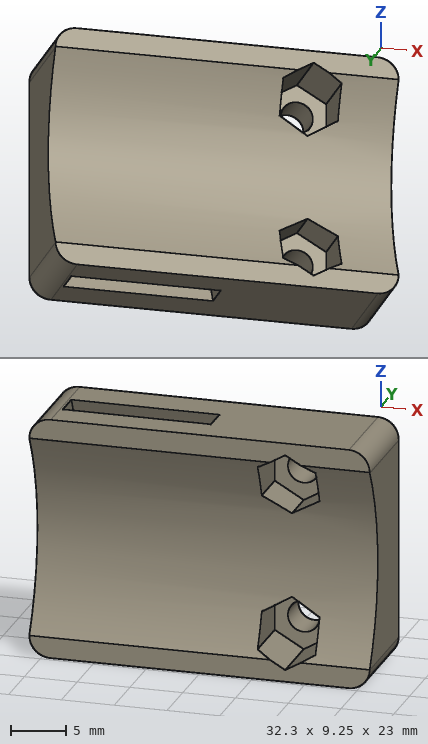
import cadquery as cq
import math

length = 32.25
thickness = 9.25
height = 23.0
corner_radius = 2.0
front_y = -thickness / 2

trough_width = 19.03
trough_depth = 2.58
trough_radius = ((trough_width / 2) ** 2 + trough_depth**2) / (2 * trough_depth)
trough_axis_y = front_y + trough_depth - trough_radius

strap_start_x = -length / 2 + 2.3
strap_width = 14.03
strap_inner_radius = 21.3
strap_front_inset = 3.0
strap_opening = 2.7

hole_x = 8.13
hole_spacing = 14.38
hole_diameter = 3.0
nut_across_flats = 5.48
nut_floor_depth = 5.87


def cylinder_along_x(radius, center_y, start_x, span):
    """Cylinder parallel to X, centred at mid height."""
    return cq.Workplane("YZ", origin=(start_x, center_y, 0)).circle(radius).extrude(span)


def strap_channel():
    """Ring whose inner wall meets the top face at the slot opening."""
    inner_reach = math.sqrt(strap_inner_radius**2 - (height / 2) ** 2)
    center_y = front_y + strap_front_inset - inner_reach
    outer_radius = math.hypot(inner_reach + strap_opening, height / 2)
    outer = cylinder_along_x(outer_radius, center_y, strap_start_x, strap_width)
    return outer.cut(cylinder_along_x(strap_inner_radius, center_y, strap_start_x, strap_width))


def nut_and_screw(z):
    """Through hole and a nut pocket with corners pointing up and down."""
    across_corners = nut_across_flats / math.cos(math.pi / 6)
    plane = cq.Workplane("XZ", origin=(hole_x, thickness / 2, z))
    hole = plane.circle(hole_diameter / 2).extrude(thickness)
    pocket = (
        cq.Workplane("XZ", origin=(hole_x, front_y + nut_floor_depth, z))
        .transformed(rotate=(0, 0, 90))
        .polygon(6, across_corners)
        .extrude(nut_floor_depth)
    )
    return hole.union(pocket)


block = cq.Workplane("XY").box(length, thickness, height).edges("|Y").fillet(corner_radius)
result = block.cut(cylinder_along_x(trough_radius, trough_axis_y, -length / 2, length)).cut(strap_channel())
for side in (-1, 1):
    result = result.cut(nut_and_screw(side * hole_spacing / 2))